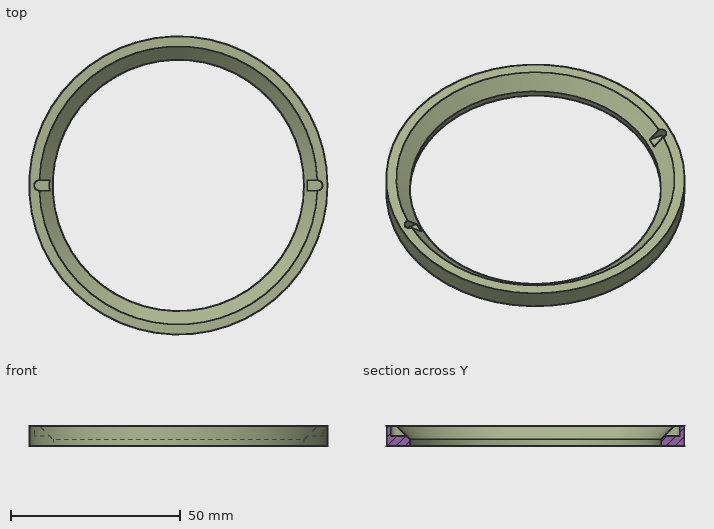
import cadquery as cq

OUTER_DIAMETER = 88.0
BORE_DIAMETER = 74.0
RING_HEIGHT = 6.0

SEAT_TOP_DIAMETER = 82.0
SEAT_DEPTH = 4.0

NOTCH_WIDTH = 3.0
NOTCH_DEPTH = 3.0
NOTCH_CENTER_RADIUS = SEAT_TOP_DIAMETER / 2
NOTCH_ANGLES = (0, 180)


def make_ring():
    """Revolve the ring section: straight outside, bore and conical seat."""
    outer_radius = OUTER_DIAMETER / 2
    bore_radius = BORE_DIAMETER / 2
    seat_radius = SEAT_TOP_DIAMETER / 2
    section = (
        cq.Workplane("XZ")
        .moveTo(bore_radius, 0)
        .lineTo(outer_radius, 0)
        .lineTo(outer_radius, RING_HEIGHT)
        .lineTo(seat_radius, RING_HEIGHT)
        .lineTo(bore_radius, RING_HEIGHT - SEAT_DEPTH)
        .close()
    )
    return section.revolve(360, (0, 0, 0), (0, 1, 0))


def make_notch_cutter(angle):
    """Flat-floored notch, open to the bore, with a semicircular outer end."""
    inner_radius = BORE_DIAMETER / 2 - NOTCH_WIDTH
    half_width = NOTCH_WIDTH / 2
    cutter = (
        cq.Workplane("XY")
        .workplane(offset=RING_HEIGHT - NOTCH_DEPTH)
        .moveTo(inner_radius, -half_width)
        .lineTo(NOTCH_CENTER_RADIUS, -half_width)
        .threePointArc(
            (NOTCH_CENTER_RADIUS + half_width, 0),
            (NOTCH_CENTER_RADIUS, half_width),
        )
        .lineTo(inner_radius, half_width)
        .close()
        .extrude(NOTCH_DEPTH)
    )
    return cutter.rotate((0, 0, 0), (0, 0, 1), angle)


result = make_ring()
for notch_angle in NOTCH_ANGLES:
    result = result.cut(make_notch_cutter(notch_angle))